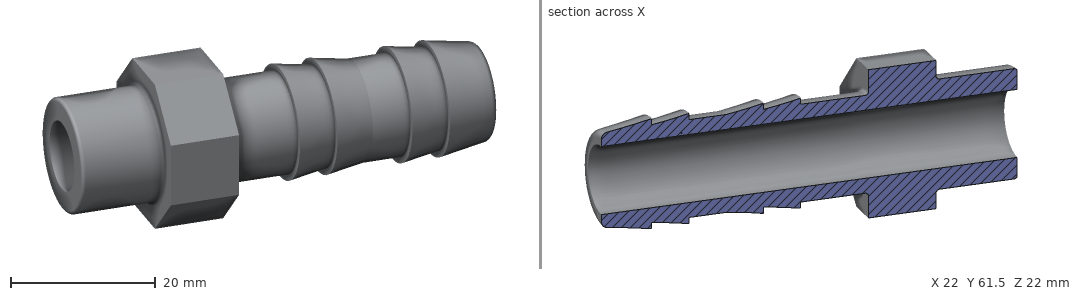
import cadquery as cq
import math

total_length = 61.5

spigot_diameter = 16.4
spigot_length = 12.0
spigot_end_fillet = 0.5

nut_sides = 8
across_flats = 22.0
nut_length = 10.0
root_fillet = 0.5

stem_diameter = 14.6
barb_diameter = 16.4
first_shoulder = 32.0
tip_barb_length = 7.5
pitch_count = 4
short_barb_steps = (0, 1, 3)
tip_fillet = 1.0

bore_diameter = 10.0

nut_end = spigot_length + nut_length
tip_shoulder = total_length - tip_barb_length
barb_pitch = (tip_shoulder - first_shoulder) / pitch_count
barb_slope = (barb_diameter - stem_diameter) / 2 / barb_pitch


def section_plane(y):
    """Plane across the part's axis at `y`, facing +Y."""
    return cq.Workplane(cq.Plane(origin=(0, y, 0), xDir=(1, 0, 0), normal=(0, 1, 0)))


def cylinder(diameter, start, length):
    """Cylinder on the Y axis running from `start` toward +Y."""
    return section_plane(start).circle(diameter / 2).extrude(length)


def octagon_nut():
    """Regular octagonal prism with flats facing X and Z."""
    across_corners = across_flats / math.cos(math.pi / nut_sides)
    half_side_angle = 180 / nut_sides
    prism = section_plane(spigot_length).polygon(nut_sides, across_corners).extrude(nut_length)
    return prism.rotate((0, 0, 0), (0, 1, 0), half_side_angle)


def barb(shoulder, length):
    """Cone with its widest edge at `shoulder`, narrowing toward +Y."""
    crest_radius = barb_diameter / 2
    narrow_radius = crest_radius - barb_slope * length
    profile = cq.Workplane("XY").polyline([
        (0, shoulder),
        (crest_radius, shoulder),
        (narrow_radius, shoulder + length),
        (0, shoulder + length),
    ]).close()
    return profile.revolve(360, (0, 0, 0), (0, 1, 0))


def fillet_root(solid, y):
    """Round the inside corner where a round section meets the nut face at `y`."""
    nearest = cq.selectors.NearestToPointSelector((0, y, 0))
    return solid.edges("%CIRCLE").edges(nearest).fillet(root_fillet)


spigot = cylinder(spigot_diameter, 0, spigot_length).faces("<Y").edges().fillet(spigot_end_fillet)
stem = cylinder(stem_diameter, nut_end, tip_shoulder - nut_end)
body = spigot.union(octagon_nut()).union(stem)
for nut_face in (spigot_length, nut_end):
    body = fillet_root(body, nut_face)

for step in short_barb_steps:
    body = body.union(barb(first_shoulder + step * barb_pitch, barb_pitch))
tip_barb = barb(tip_shoulder, tip_barb_length).faces(">Y").edges().fillet(tip_fillet)
body = body.union(tip_barb)

result = body.cut(cylinder(bore_diameter, 0, total_length))